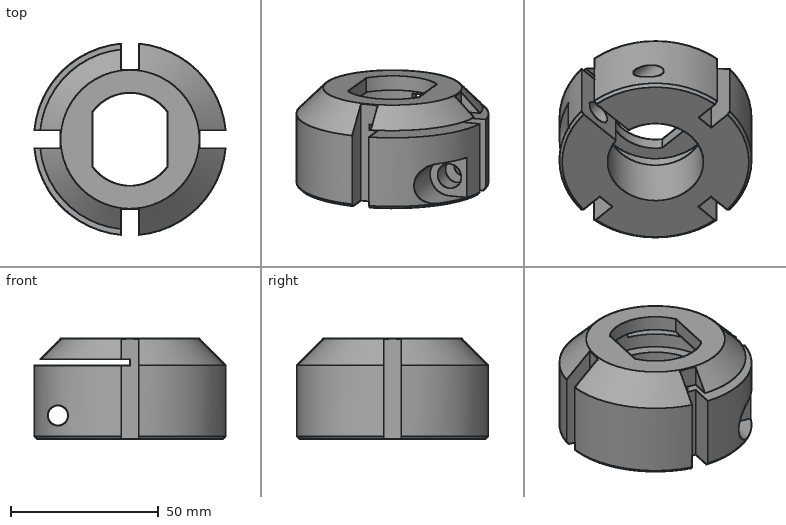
import cadquery as cq

outer_diameter = 65.0
outer_radius = outer_diameter / 2
height = 34.0
top_chamfer = 9.05
bottom_chamfer = 1.0
shoulder_z = height - top_chamfer

lower_bore_diameter = 32.35
recess_diameter = 40.1
recess_floor_z = 20.05
recess_roof_z = 29.0
top_hole_diameter = 31.3
top_hole_flat_width = 25.25

slot_width = 6.0
slot_floor_radius = 23.55

slit_thickness = 2.0
slit_roof_z = shoulder_z + slit_thickness

screw_x = -24.35
screw_z = 7.95
screw_thread_diameter = 6.7
screw_clearance_diameter = 8.5
screw_head_diameter = 13.85
screw_seat_y = 11.05


def vertical_cylinder(diameter, bottom_z, top_z):
    return cq.Workplane("XY", origin=(0, 0, bottom_z)).circle(diameter / 2).extrude(top_z - bottom_z)


def box_between(x_range, y_range, z_range):
    """Box spanning the given (low, high) pair on each axis."""
    lows, highs = zip(x_range, y_range, z_range)
    size = cq.Vector(*highs) - cq.Vector(*lows)
    return cq.Workplane(cq.Solid.makeBox(size.x, size.y, size.z, cq.Vector(*lows)))


def screw_cylinder(diameter, start_y):
    """Cylinder on the screw axis, from start_y out past the +Y side."""
    profile = cq.Workplane("XZ", origin=(screw_x, start_y, screw_z)).circle(diameter / 2)
    return profile.extrude(start_y - outer_radius)


def make_body():
    body = vertical_cylinder(outer_diameter, 0, height)
    return body.faces(">Z").chamfer(top_chamfer).faces("<Z").chamfer(bottom_chamfer)


def make_bore():
    lower_bore = vertical_cylinder(lower_bore_diameter, 0, recess_floor_z)
    recess = vertical_cylinder(recess_diameter, recess_floor_z, recess_roof_z)
    half_flat = top_hole_flat_width / 2
    flats = box_between((-half_flat, half_flat), (-outer_radius, outer_radius), (recess_roof_z, height))
    top_hole = vertical_cylinder(top_hole_diameter, recess_roof_z, height).intersect(flats)
    return lower_bore.union(recess).union(top_hole)


def make_radial_slot(angle):
    half_width = slot_width / 2
    slot = box_between((slot_floor_radius, outer_radius), (-half_width, half_width), (0, height))
    return slot.rotate((0, 0, 0), (0, 0, 1), angle)


def make_clamp_cuts():
    half_width = slot_width / 2
    slit = box_between((-outer_radius, 0), (-outer_radius, outer_radius), (shoulder_z, slit_roof_z))
    split = box_between((-outer_radius, 0), (-half_width, half_width), (0, slit_roof_z))
    return slit.union(split)


def make_screw_hole():
    """Threaded-size hole at -Y, clearance hole at +Y and a head pocket open toward -X."""
    thread_hole = screw_cylinder(screw_thread_diameter, -outer_radius)
    clearance_hole = screw_cylinder(screw_clearance_diameter, 0)
    head_recess = screw_cylinder(screw_head_diameter, screw_seat_y)
    head_radius = screw_head_diameter / 2
    head_opening = box_between(
        (-outer_radius, screw_x),
        (screw_seat_y, outer_radius),
        (screw_z - head_radius, screw_z + head_radius),
    )
    return thread_hole.union(clearance_hole).union(head_recess).union(head_opening)


result = make_body().cut(make_bore())
for slot_angle in (0, 90, 180, 270):
    result = result.cut(make_radial_slot(slot_angle))
result = result.cut(make_clamp_cuts()).cut(make_screw_hole())